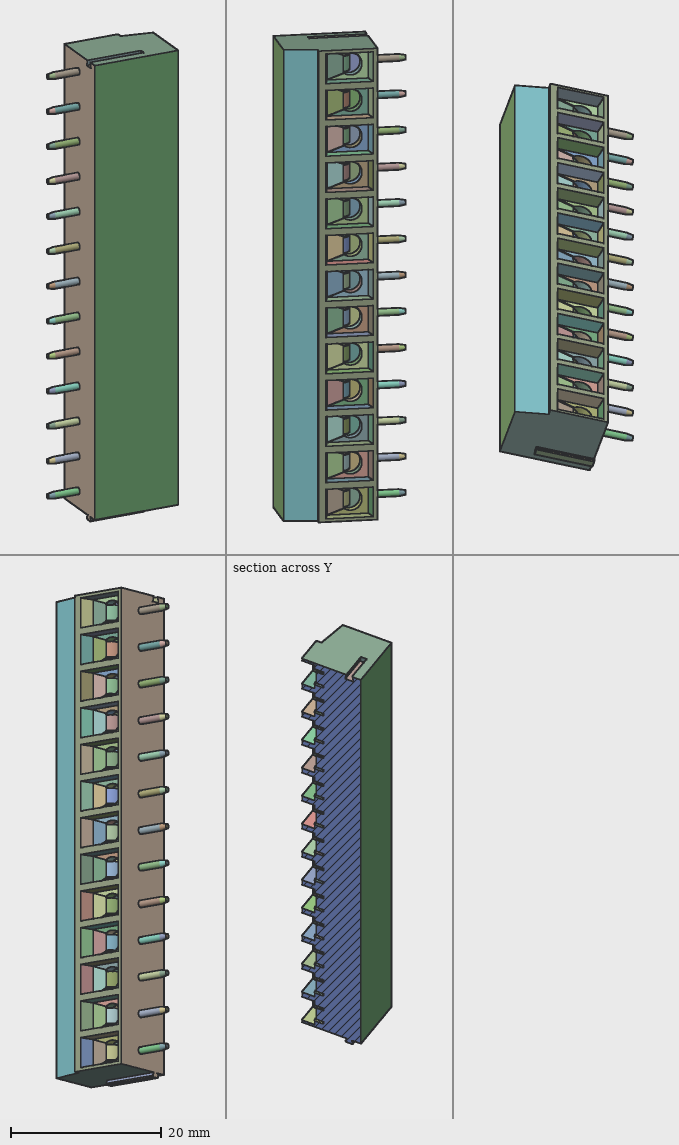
import cadquery as cq
import math


pole_count = 13
body_length = 65.0
pitch = body_length / pole_count
body_width = 9.0
body_height = 12.5
shoulder_height = 8.0
shoulder_depth = 0.8
top_setback = 1.6

window_bottom = 0.6
window_top = 7.0
window_size_z = 4.1
window_depth = 1.9
bottom_draft = 0.3
top_draft = 0.5

hole_radius = 1.5
hole_height = 3.3
hole_top = 4.3
hole_depth = 1.4

guide_depth = 0.1
guide_neck = 2.5

lip_bottom = 3.15
lip_size_z = 2.1
lip_radius = 2.0

pin_x = 4.1
pin_radius = 0.49
pin_tip_radius = 0.3
pin_length = 4.5
pin_tip_length = 0.9
pin_embed = 0.65

rail_x = 7.2
rail_height = 0.65
rail_neck = 0.8
rail_head = 1.2
rail_tip = 0.9
rail_head_drop = 0.45
groove_x = 7.2
groove_mouth = 0.85
groove_floor = 1.2
groove_depth = 0.8


def side_plane(x):
    """Plane facing -X at the given X; local x runs along -Y, local y along +Z."""
    return cq.Plane(origin=(x, 0, 0), xDir=(0, -1, 0), normal=(-1, 0, 0))


def make_housing():
    outline = [
        (0, 0),
        (body_width, 0),
        (body_width, body_height),
        (top_setback, body_height),
        (shoulder_depth, shoulder_height),
        (0, shoulder_height),
    ]
    return cq.Workplane("XY").polyline(outline).close().extrude(body_length)


def make_window(z):
    outline = [
        (0, window_bottom),
        (window_depth, window_bottom + bottom_draft),
        (window_depth, window_top - top_draft),
        (0, window_top),
    ]
    window = cq.Workplane("XY").polyline(outline).close().extrude(window_size_z)
    return window.translate((0, 0, z - window_size_z / 2))


def make_guide(z):
    corner_y = window_top - top_draft
    corner_z = window_size_z / 2
    outline = [
        (-corner_y, -corner_z),
        (-hole_top, -guide_neck / 2),
        (-hole_top, guide_neck / 2),
        (-corner_y, corner_z),
    ]
    guide = cq.Workplane(side_plane(window_depth)).polyline(outline).close().extrude(-guide_depth)
    return guide.translate((0, 0, z))


def make_wire_hole(z):
    half_width = math.sqrt(hole_radius**2 - (hole_top - hole_height) ** 2)
    hole = (
        cq.Workplane(side_plane(window_depth))
        .moveTo(-hole_top, -half_width)
        .threePointArc((hole_radius - hole_height, 0), (-hole_top, half_width))
        .close()
        .extrude(-hole_depth)
    )
    lip_start = window_depth + guide_depth
    hole_floor = window_depth + hole_depth
    lip = (
        cq.Workplane("XY")
        .moveTo(lip_start, hole_top)
        .radiusArc((hole_floor, lip_bottom), -lip_radius)
        .lineTo(hole_floor, hole_top)
        .close()
        .extrude(lip_size_z)
        .translate((0, 0, -lip_size_z / 2))
    )
    return hole.cut(lip).translate((0, 0, z))


def make_pin(z):
    straight_end = pin_tip_length - pin_length
    profile = [
        (0, pin_embed),
        (pin_radius, pin_embed),
        (pin_radius, straight_end),
        (pin_tip_radius, -pin_length),
        (0, -pin_length),
    ]
    pin = cq.Workplane("XY").polyline(profile).close().revolve(360, (0, 0, 0), (0, 1, 0))
    return pin.translate((pin_x, 0, z))


def make_rail(z):
    outline = [
        (rail_x - rail_neck / 2, z),
        (rail_x - rail_head / 2, z - rail_head_drop),
        (rail_x - rail_tip / 2, z - rail_height),
        (rail_x + rail_tip / 2, z - rail_height),
        (rail_x + rail_head / 2, z - rail_head_drop),
        (rail_x + rail_neck / 2, z),
    ]
    return cq.Workplane("XZ").polyline(outline).close().extrude(-shoulder_height)


def make_groove(z):
    outline = [
        (groove_x - groove_mouth / 2, z),
        (groove_x - groove_floor / 2, z - groove_depth),
        (groove_x + groove_floor / 2, z - groove_depth),
        (groove_x + groove_mouth / 2, z),
    ]
    return cq.Workplane("XZ").polyline(outline).close().extrude(-shoulder_height)


result = make_housing().cut(make_groove(body_length)).union(make_rail(0))

for pole in range(pole_count):
    pole_z = (pole + 0.5) * pitch
    result = result.cut(make_window(pole_z))
    result = result.cut(make_guide(pole_z))
    result = result.cut(make_wire_hole(pole_z))
    result = result.union(make_pin(pole_z))